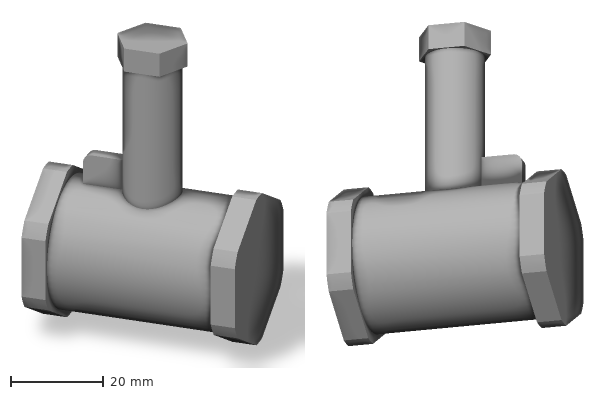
import cadquery as cq
import math

total_length = 49.0
total_height = 69.0
body_diameter = 30.0
nut_flats = 32.0
nut_corner_diameter = 35.0
nut_width = 5.5
stem_diameter = 13.05
cap_flats = 14.0
cap_height = 5.5
tab_reach = 15.45
tab_top = 22.0
tab_thickness = 3.0
tab_corner_radius = 2.0

stem_top = total_height - nut_corner_diameter / 2


def hexagon_diameter(flats):
    """Corner-to-corner size of a hexagon with the given width across flats."""
    return flats / math.cos(math.pi / 6)


def end_nut(start_x):
    """Hexagonal nut along X, corners up and down, turned round at the corners."""
    face = cq.Workplane("YZ", origin=(start_x, 0, 0))
    hexagon = (
        face.transformed(rotate=(0, 0, 90))
        .polygon(6, hexagon_diameter(nut_flats))
        .extrude(nut_width)
    )
    return hexagon.intersect(face.circle(nut_corner_diameter / 2).extrude(nut_width))


def stem():
    """Upright round stem with a hexagonal cap."""
    shaft = cq.Workplane("XY").circle(stem_diameter / 2).extrude(stem_top)
    cap = (
        cq.Workplane("XY", origin=(0, 0, stem_top - cap_height))
        .polygon(6, hexagon_diameter(cap_flats))
        .extrude(cap_height)
    )
    return shaft.union(cap)


def tab():
    """Plate between body and stem, with its outer top corner rounded."""
    return (
        cq.Workplane("XY")
        .box(tab_reach, tab_thickness, tab_top, centered=(False, True, False))
        .translate((-tab_reach, 0, 0))
        .edges("<X and >Z")
        .fillet(tab_corner_radius)
    )


body = (
    cq.Workplane("YZ", origin=(-total_length / 2, 0, 0))
    .circle(body_diameter / 2)
    .extrude(total_length)
)
result = body.union(stem()).union(tab())
for nut_start in (-total_length / 2, total_length / 2 - nut_width):
    result = result.union(end_nut(nut_start))